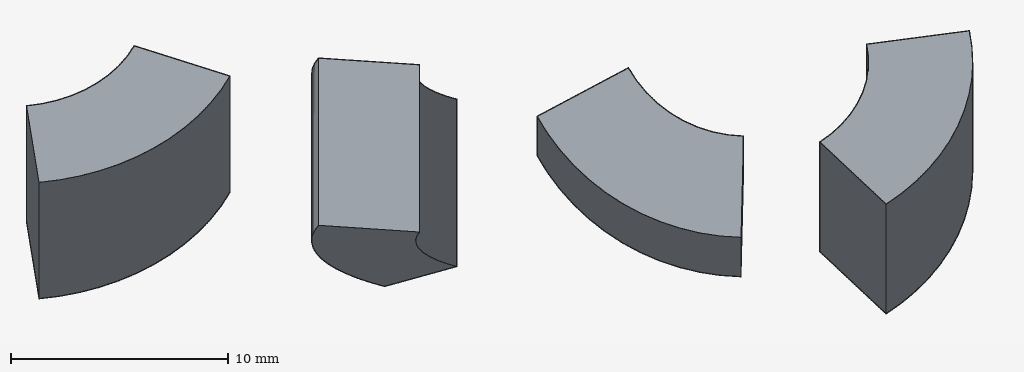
import cadquery as cq
import math

outer_radius = 11.0
inner_radius = 6.2
height = 8.0
half_angle = 30.0


def point_on_arc(radius, angle):
    """Return the XY point at the given radius and angle in degrees from +X."""
    return (
        radius * math.cos(math.radians(angle)),
        radius * math.sin(math.radians(angle)),
    )


result = (
    cq.Workplane("XY")
    .moveTo(*point_on_arc(inner_radius, -half_angle))
    .lineTo(*point_on_arc(outer_radius, -half_angle))
    .threePointArc((outer_radius, 0), point_on_arc(outer_radius, half_angle))
    .lineTo(*point_on_arc(inner_radius, half_angle))
    .threePointArc((inner_radius, 0), point_on_arc(inner_radius, -half_angle))
    .close()
    .extrude(height)
)